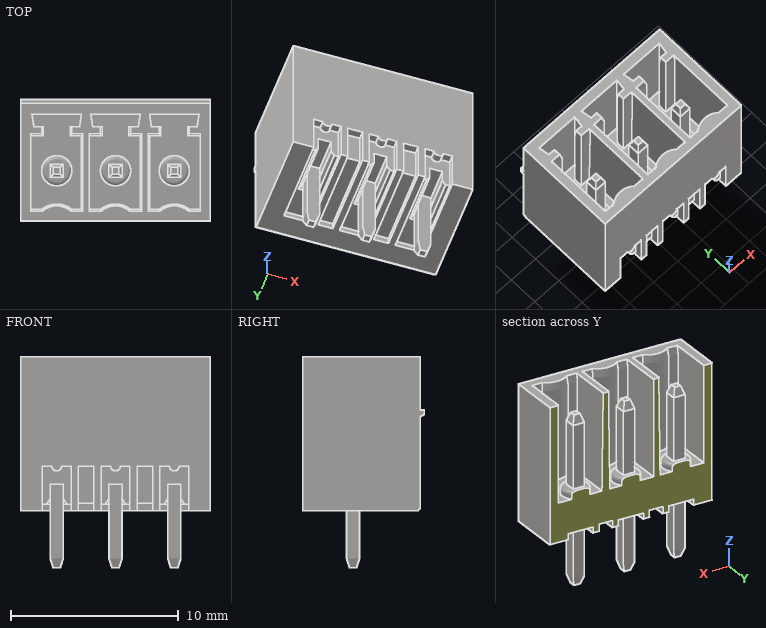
import cadquery as cq

body_width = 11.3
body_depth = 7.0
body_height = 9.2
back_bottom_chamfer = 0.15

pin_count = 3
pin_pitch = 3.5
pin_y = 3.0
pin_side = 0.8
pin_bottom = -3.4
pin_top = 8.0
pin_bottom_taper = 0.57
pin_bottom_tip_side = 0.43
pin_top_taper = 0.57
pin_top_tip_side = 0.4

rail_reach = 0.24
rail_top = 6.02
rail_tip_height = 0.29
rail_root_height = 0.42

floor_z = 2.67
cell_width = 3.1
cell_front = 0.59
wall_draft = 0.09
drafted_sides = [(False, True), (False, True), (True, False)]
rib_radius = 1.32
rib_rise = 0.32
rib_centre_y = cell_front + rib_rise - rib_radius
lead_inset = 0.1
lead_height = 0.5
lead_z = body_height - lead_height

tab_front = 5.19
tab_back = 5.63
tab_gap = 1.59
pocket_back = 6.35
pocket_front_width = 2.72
pocket_back_width = 2.95

collar_diameter = 1.8
collar_height = 0.5
collar_fillet = 0.25

slot_height = floor_z
slot_depth = 0.49
recess_back = 2 * pin_y - slot_depth
pin_slot_width = 1.71
pin_recess_height = 0.39
gap_slot_width = 0.92
gap_recess_height = 0.47
lip_radius = 0.29

channel_top = 1.58
flare = 0.2
flare_height = 0.32

pin_positions = [(i - (pin_count - 1) / 2) * pin_pitch for i in range(pin_count)]
gap_positions = [x + pin_pitch / 2 for x in pin_positions[:-1]]


def block(x_min, x_max, y_min, y_max, z_min, z_max):
    """Axis-aligned block given by its limits."""
    size = (x_max - x_min, y_max - y_min, z_max - z_min)
    return cq.Workplane("XY").box(*size, centered=False).translate((x_min, y_min, z_min))


def centred_block(x, width, y_min, y_max, z_min, z_max):
    """Block centred on x."""
    return block(x - width / 2, x + width / 2, y_min, y_max, z_min, z_max)


def make_housing():
    """Plain block with the back bottom edge chamfered and a rail along the back."""
    housing = centred_block(0, body_width, 0, body_depth, 0, body_height)
    housing = housing.faces(">Y").edges("<Z").chamfer(back_bottom_chamfer)
    rail = (
        cq.Workplane("YZ", origin=(-body_width / 2, 0, 0))
        .moveTo(body_depth, rail_top)
        .lineTo(body_depth + rail_reach, rail_top)
        .lineTo(body_depth + rail_reach, rail_top - rail_tip_height)
        .lineTo(body_depth, rail_top - rail_root_height)
        .close()
        .extrude(body_width)
    )
    return housing.union(rail)


def cell_outline(z, drafted, inset):
    """Wire of a cell at height z, its front wall, rib and tabs standing inset into the cell."""
    draft = wall_draft * (body_height - z) / (body_height - floor_z)
    left_drafted, right_drafted = drafted
    left = -cell_width / 2 + draft * left_drafted
    right = cell_width / 2 - draft * right_drafted
    front = cell_front + inset
    back = tab_front - inset
    rib_crest = front + rib_rise
    rib_half = ((rib_radius + inset) ** 2 - (front - rib_centre_y) ** 2) ** 0.5
    outline = (
        cq.Workplane("XY", origin=(0, 0, z))
        .moveTo(left, front)
        .lineTo(-rib_half, front)
        .threePointArc((0, rib_crest), (rib_half, front))
        .lineTo(right, front)
        .lineTo(right, back)
        .lineTo(left, back)
        .close()
    )
    return outline.val()


def make_cell(x, drafted):
    """Space inside one cell: main room, gap between the tabs and pocket behind them."""
    floor_wire = cell_outline(floor_z, drafted, lead_inset)
    lead_wire = cell_outline(lead_z, drafted, lead_inset)
    top_wire = cell_outline(body_height, drafted, 0)
    room = cq.Workplane(cq.Solid.makeLoft([floor_wire, lead_wire], True))
    room = room.union(cq.Workplane(cq.Solid.makeLoft([lead_wire, top_wire], True)))
    gap = (
        cq.Workplane("XZ", origin=(0, tab_back, 0))
        .moveTo(-tab_gap / 2, floor_z)
        .lineTo(tab_gap / 2, floor_z)
        .lineTo(tab_gap / 2, lead_z)
        .lineTo(tab_gap / 2 + lead_inset, body_height)
        .lineTo(-tab_gap / 2 - lead_inset, body_height)
        .lineTo(-tab_gap / 2, lead_z)
        .close()
        .extrude(tab_back - tab_front + lead_inset)
    )
    pocket = (
        cq.Workplane("XY", origin=(0, 0, floor_z))
        .moveTo(-pocket_front_width / 2, tab_back)
        .lineTo(pocket_front_width / 2, tab_back)
        .lineTo(pocket_back_width / 2, pocket_back)
        .lineTo(-pocket_back_width / 2, pocket_back)
        .close()
        .extrude(body_height - floor_z)
    )
    return room.union(gap).union(pocket).translate((x, 0, 0))


def make_collar(x):
    """Rounded collar around a pin."""
    collar = cq.Workplane("XY", origin=(x, pin_y, floor_z)).circle(collar_diameter / 2).extrude(collar_height)
    return collar.faces(">Z").edges().fillet(collar_fillet)


def make_slot(x, width, recess_height):
    """Slot in the front wall that continues as a shallow recess under the housing."""
    slot = centred_block(x, width, 0, slot_depth, 0, slot_height)
    return slot.union(centred_block(x, width, 0, recess_back, 0, recess_height))


def make_pin_opening(x):
    """Front slot with a half-round lip at its top, plus the flared pin channel behind it."""
    lip = cq.Workplane("XZ", origin=(x, slot_depth, slot_height)).circle(lip_radius).extrude(slot_depth)
    slot = make_slot(x, pin_slot_width, pin_recess_height).cut(lip)
    pin_back = pin_y + pin_side / 2
    channel = centred_block(x, pin_side, slot_depth, pin_back, 0, channel_top)
    mouth_length = pin_back + flare - slot_depth
    throat_length = pin_back - slot_depth
    mouth = (
        cq.Workplane("XY", origin=(x, slot_depth + mouth_length / 2, pin_recess_height))
        .rect(pin_side + 2 * flare, mouth_length)
        .workplane(offset=flare_height)
        .center(0, -flare / 2)
        .rect(pin_side, throat_length)
        .loft(ruled=True)
    )
    return slot.union(channel).union(mouth)


def make_taper(x, base_z, base_side, tip_z, tip_side):
    """Four-sided taper from a pin's shaft to its tip."""
    return (
        cq.Workplane("XY", origin=(x, pin_y, base_z))
        .rect(base_side, base_side)
        .workplane(offset=tip_z - base_z)
        .rect(tip_side, tip_side)
        .loft(ruled=True)
    )


def make_pin(x):
    """Square pin tapered at both ends."""
    shaft_bottom = pin_bottom + pin_bottom_taper
    shaft_top = pin_top - pin_top_taper
    y_min = pin_y - pin_side / 2
    pin = centred_block(x, pin_side, y_min, y_min + pin_side, shaft_bottom, shaft_top)
    pin = pin.union(make_taper(x, shaft_bottom, pin_side, pin_bottom, pin_bottom_tip_side))
    return pin.union(make_taper(x, shaft_top, pin_side, pin_top, pin_top_tip_side))


result = make_housing()
for pin_x, drafted in zip(pin_positions, drafted_sides):
    result = result.cut(make_cell(pin_x, drafted))
    result = result.cut(make_pin_opening(pin_x))
    result = result.union(make_collar(pin_x))
    result = result.union(make_pin(pin_x))
for gap_x in gap_positions:
    result = result.cut(make_slot(gap_x, gap_slot_width, gap_recess_height))